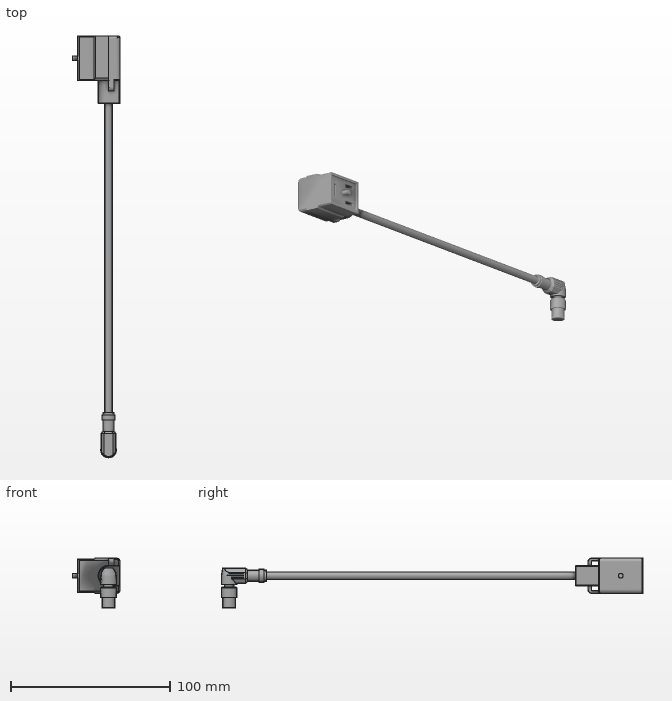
import cadquery as cq


BACK_Y = 260.0
HOUSING_LENGTH = 28.2
FRONT_Y = BACK_Y - HOUSING_LENGTH
MID_Y = BACK_Y - HOUSING_LENGTH / 2
SEAL_FACE_X = -19.35
GASKET_THICKNESS = 1.0
GASKET_FRAME_WIDTH = 1.6
GASKET_BACK_FRAME_WIDTH = 1.1
BASE_START_X = SEAL_FACE_X + GASKET_THICKNESS
BASE_HALF_HEIGHT = 10.4
BASE_EDGE_CHAMFER = 0.8
COVER_START_X = -9.0
COVER_SLOPE = 0.8
COVER_HALF_HEIGHT = 11.25
COVER_END_X = 7.31
COVER_FRONT_CHAMFER = 1.6
LID_START_X = 0.0
LID_BACK_RADIUS = 1.7
LID_EDGE_RADIUS = 2.4
LID_CORNER_CHAMFER = 0.9
LID_HALF_HEIGHT = COVER_HALF_HEIGHT - 0.2

OUTLET_RADIUS = 6.5
OUTLET_END_Y = FRONT_Y - 14.4
OUTLET_SIDE_CHAMFER = 0.8
OUTLET_END_CHAMFER = 0.5

STRAP_WIDTH = 3.5
STRAP_REACH = 6.5
STRAP_ARM = 1.7
STRAP_LEG = 2.3
STRAP_CORNER_RADIUS = 2.5

SLOT_LENGTH = 8.0
SLOT_WIDTH = 2.2
SLOT_DEPTH = 7.0
SIDE_SLOT_Y = BACK_Y - 20.1
SIDE_SLOT_Z = 5.4
EARTH_SLOT_Y = BACK_Y - 5.3

SCREW_RADIUS = 1.5
SCREW_TIP_X = -22.7

CABLE_RADIUS = 2.5
CABLE_INSERTION = 3.0

GRIP_HALF_WIDTH = 4.7
GRIP_HALF_HEIGHT = 4.8
GRIP_FLAT_HALF_WIDTH = 2.8
GRIP_SIDE_HALF_HEIGHT = 1.9
GRIP_BACK_Y = 11.6
GRIP_BACK_CHAMFER = 1.2
COLUMN_RADIUS = 4.9
COLUMN_TOP_RADIUS = 4.1
COLUMN_BOTTOM_Z = -5.6
GROOVE_COUNT = 3
GROOVE_PITCH = 1.2
GROOVE_WIDTH = 0.5
GROOVE_DEPTH = 0.4
GROOVE_START_Y = 0.0
GROOVE_END_Y = 9.2
SLEEVE_RADIUS = 3.6
SLEEVE_END_Y = 23.4
RING_RADIUS = 4.1
RING_LENGTH = 3.0
RING_SETBACK = 1.5
NECK_RADIUS = 3.0

NUT_TOP_Z = -7.1
NUT_RADIUS = 4.9
NUT_SHOULDER_Z = -13.7
NUT_CHAMFER = 0.5
THREAD_RADIUS = 4.05
THREAD_END_Z = -20.1


def box_between(x_range, y_range, z_range):
    """Axis-aligned box spanning the given ranges."""
    size = [high - low for low, high in (x_range, y_range, z_range)]
    corner = (x_range[0], y_range[0], z_range[0])
    return cq.Workplane("XY").box(*size, centered=False).translate(corner)


def cylinder_x(radius, x_start, x_end, y):
    """Cylinder along X at height Z = 0."""
    plane = cq.Workplane("YZ", origin=(x_start, y, 0))
    return plane.circle(radius).extrude(x_end - x_start)


def cylinder_y(radius, y_start, y_end):
    """Cylinder along the cable axis."""
    plane = cq.Workplane("XZ", origin=(0, y_end, 0))
    return plane.circle(radius).extrude(y_end - y_start)


def cylinder_z(radius, z_bottom, z_top):
    """Cylinder along the plug axis."""
    return cq.Workplane("XY", origin=(0, 0, z_bottom)).circle(radius).extrude(z_top - z_bottom)


def make_slots():
    """Cutters for the two line contacts and the earth contact."""
    x_range = (BASE_START_X, BASE_START_X + SLOT_DEPTH)
    half_length = SLOT_LENGTH / 2
    half_width = SLOT_WIDTH / 2
    slots = box_between(
        x_range,
        (EARTH_SLOT_Y - half_width, EARTH_SLOT_Y + half_width),
        (-half_length, half_length),
    )
    for z in (-SIDE_SLOT_Z, SIDE_SLOT_Z):
        slot = box_between(
            x_range,
            (SIDE_SLOT_Y - half_length, SIDE_SLOT_Y + half_length),
            (z - half_width, z + half_width),
        )
        slots = slots.union(slot)
    return slots


def make_strap():
    """Upper strap: an arm leaving the lid and a leg bent down onto the outlet."""
    leg_outer_y = FRONT_Y - STRAP_REACH
    strap = box_between(
        (LID_START_X, LID_START_X + STRAP_WIDTH),
        (leg_outer_y, FRONT_Y + STRAP_LEG),
        (0, LID_HALF_HEIGHT),
    )
    strap = strap.edges("<Y and >Z").fillet(STRAP_CORNER_RADIUS)
    opening = box_between(
        (LID_START_X, LID_START_X + STRAP_WIDTH),
        (leg_outer_y + STRAP_LEG, FRONT_Y + STRAP_LEG),
        (0, LID_HALF_HEIGHT - STRAP_ARM),
    )
    return strap.cut(opening)


def make_outlet():
    """Cable outlet: half round towards -X, square towards +X."""
    plane = cq.Workplane("XZ", origin=(0, FRONT_Y, 0))
    outlet = (
        plane.moveTo(COVER_END_X, OUTLET_RADIUS)
        .lineTo(0, OUTLET_RADIUS)
        .threePointArc((-OUTLET_RADIUS, 0), (0, -OUTLET_RADIUS))
        .lineTo(COVER_END_X, -OUTLET_RADIUS)
        .close()
        .extrude(FRONT_Y - OUTLET_END_Y)
    )
    outlet = outlet.edges(">X and |Y").chamfer(OUTLET_SIDE_CHAMFER)
    return outlet.faces("<Y").chamfer(OUTLET_END_CHAMFER)


def make_base():
    """Part of the housing next to the gasket."""
    base = box_between(
        (BASE_START_X, COVER_START_X + COVER_SLOPE),
        (FRONT_Y, BACK_Y),
        (-BASE_HALF_HEIGHT, BASE_HALF_HEIGHT),
    )
    return base.edges("|X").chamfer(BASE_EDGE_CHAMFER)


def make_cover():
    """Taller middle part of the housing with a sloped start."""
    cover = (
        cq.Workplane("XZ", origin=(0, BACK_Y, 0))
        .moveTo(COVER_START_X, -BASE_HALF_HEIGHT)
        .lineTo(COVER_START_X, BASE_HALF_HEIGHT)
        .lineTo(COVER_START_X + COVER_SLOPE, COVER_HALF_HEIGHT)
        .lineTo(LID_START_X, COVER_HALF_HEIGHT)
        .lineTo(LID_START_X, -COVER_HALF_HEIGHT)
        .lineTo(COVER_START_X + COVER_SLOPE, -COVER_HALF_HEIGHT)
        .close()
        .extrude(HOUSING_LENGTH)
    )
    front_edges = cover.faces("<Y").edges("|X")
    return front_edges.chamfer(COVER_FRONT_CHAMFER)


def make_lid():
    """Outer part of the housing, a little lower than the cover, with rounded edges."""
    block = box_between(
        (LID_START_X, COVER_END_X),
        (FRONT_Y, BACK_Y),
        (-LID_HALF_HEIGHT, LID_HALF_HEIGHT),
    )
    rounded_sides = block.edges("|Y and >X").fillet(LID_EDGE_RADIUS)
    rounded_sides = rounded_sides.edges("|Z and >X").chamfer(LID_CORNER_CHAMFER)
    rounded_back = block.edges("|X and >Y").fillet(LID_BACK_RADIUS)
    return rounded_sides.intersect(rounded_back)


def make_housing():
    """Housing with outlet, straps, contact slots and the holes for screw and cable."""
    housing = make_base().union(make_cover()).union(make_lid()).union(make_outlet())
    strap = make_strap()
    housing = housing.union(strap).union(strap.mirror("XY"))
    housing = housing.cut(make_slots())
    housing = housing.cut(cylinder_x(SCREW_RADIUS, BASE_START_X, COVER_END_X, MID_Y))
    return housing.cut(cylinder_y(CABLE_RADIUS, OUTLET_END_Y, OUTLET_END_Y + CABLE_INSERTION))


def make_gasket():
    """Rectangular sealing frame standing proud of the contact face."""
    frame = box_between(
        (SEAL_FACE_X, BASE_START_X),
        (FRONT_Y, BACK_Y),
        (-BASE_HALF_HEIGHT, BASE_HALF_HEIGHT),
    )
    opening_half_height = BASE_HALF_HEIGHT - GASKET_FRAME_WIDTH
    opening = box_between(
        (SEAL_FACE_X, BASE_START_X),
        (FRONT_Y + GASKET_FRAME_WIDTH, BACK_Y - GASKET_BACK_FRAME_WIDTH),
        (-opening_half_height, opening_half_height),
    )
    return frame.cut(opening)


def make_screw():
    """Fixing screw passing through the housing."""
    return cylinder_x(SCREW_RADIUS, SCREW_TIP_X, COVER_END_X, MID_Y)


def make_cable():
    """Round cable held in the housing outlet and in the plug sleeve."""
    return cylinder_y(CABLE_RADIUS, SLEEVE_END_Y - CABLE_INSERTION, OUTLET_END_Y + CABLE_INSERTION)


def make_grip():
    """Eight-sided grip along Y with finger grooves on both sides."""
    outline = [
        (GRIP_FLAT_HALF_WIDTH, GRIP_HALF_HEIGHT),
        (GRIP_HALF_WIDTH, GRIP_SIDE_HALF_HEIGHT),
        (GRIP_HALF_WIDTH, -GRIP_SIDE_HALF_HEIGHT),
        (GRIP_FLAT_HALF_WIDTH, -GRIP_HALF_HEIGHT),
    ]
    outline += [(-x, z) for x, z in reversed(outline)]
    grip = (
        cq.Workplane("XZ", origin=(0, GRIP_BACK_Y, 0))
        .polyline(outline)
        .close()
        .extrude(GRIP_BACK_Y + COLUMN_RADIUS)
    )
    grip = grip.faces(">Y").chamfer(GRIP_BACK_CHAMFER)
    for side in (-1, 1):
        for index in range(GROOVE_COUNT):
            z = (index - (GROOVE_COUNT - 1) / 2) * GROOVE_PITCH
            groove = cq.Workplane("XY").box(
                2 * GROOVE_DEPTH, GROOVE_END_Y - GROOVE_START_Y, GROOVE_WIDTH
            )
            middle_y = (GROOVE_START_Y + GROOVE_END_Y) / 2
            grip = grip.cut(groove.translate((side * GRIP_HALF_WIDTH, middle_y, z)))
    return grip


def make_nose_envelope():
    """Rounded front for the grip, tapering in towards the top."""
    nose = (
        cq.Workplane("XZ")
        .moveTo(0, -GRIP_HALF_HEIGHT)
        .lineTo(COLUMN_RADIUS, -GRIP_HALF_HEIGHT)
        .lineTo(COLUMN_RADIUS, 0)
        .lineTo(COLUMN_TOP_RADIUS, GRIP_HALF_HEIGHT)
        .lineTo(0, GRIP_HALF_HEIGHT)
        .close()
        .revolve(360, (0, 0, 0), (0, 1, 0))
    )
    behind = box_between(
        (-COLUMN_RADIUS, COLUMN_RADIUS),
        (0, GRIP_BACK_Y),
        (-GRIP_HALF_HEIGHT, GRIP_HALF_HEIGHT),
    )
    return nose.union(behind)


def make_plug():
    """Angled plug body: grip, cable sleeve with ring, column and neck into the nut."""
    ring_end_y = SLEEVE_END_Y - RING_SETBACK
    plug = make_grip().intersect(make_nose_envelope())
    plug = plug.union(cylinder_z(COLUMN_RADIUS, COLUMN_BOTTOM_Z, 0))
    plug = plug.union(cylinder_z(NECK_RADIUS, THREAD_END_Z, 0))
    plug = plug.union(cylinder_y(SLEEVE_RADIUS, 0, SLEEVE_END_Y))
    plug = plug.union(cylinder_y(RING_RADIUS, ring_end_y - RING_LENGTH, ring_end_y))
    return plug.cut(cylinder_y(CABLE_RADIUS, SLEEVE_END_Y - CABLE_INSERTION, SLEEVE_END_Y))


def make_nut():
    """Coupling nut with a grip collar above its threaded end."""
    collar = cylinder_z(NUT_RADIUS, NUT_SHOULDER_Z, NUT_TOP_Z).faces(">Z").chamfer(NUT_CHAMFER)
    nut = collar.union(cylinder_z(THREAD_RADIUS, THREAD_END_Z, NUT_SHOULDER_Z))
    return nut.cut(cylinder_z(NECK_RADIUS, THREAD_END_Z, NUT_TOP_Z))


housing = make_housing()
gasket = make_gasket()
screw = make_screw()
cable = make_cable()
plug = make_plug()
nut = make_nut()

result = cq.Compound.makeCompound(
    [housing.val(), gasket.val(), screw.val(), cable.val(), plug.val(), nut.val()]
)